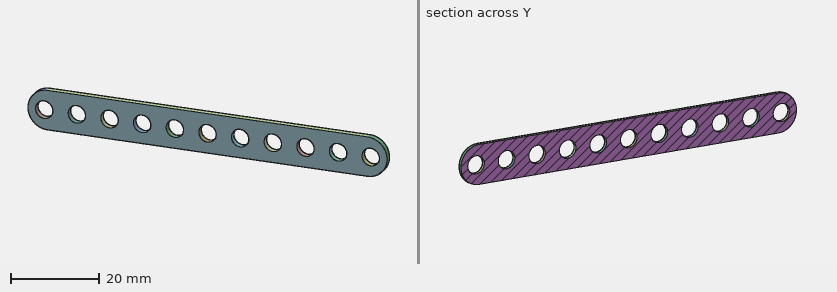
import cadquery as cq

length = 88.0
thickness = 1.6
height = 9.6

hole_count = 11
hole_pitch = length / hole_count
hole_diameter = 4.2

back_plane = cq.Workplane("XZ", origin=(0, thickness / 2, 0))
strip = back_plane.slot2D(length, height).extrude(thickness)

hole_row = (
    back_plane
    .rarray(hole_pitch, 0.9, hole_count, 1)
    .circle(hole_diameter / 2)
    .extrude(thickness)
)

result = strip.cut(hole_row)